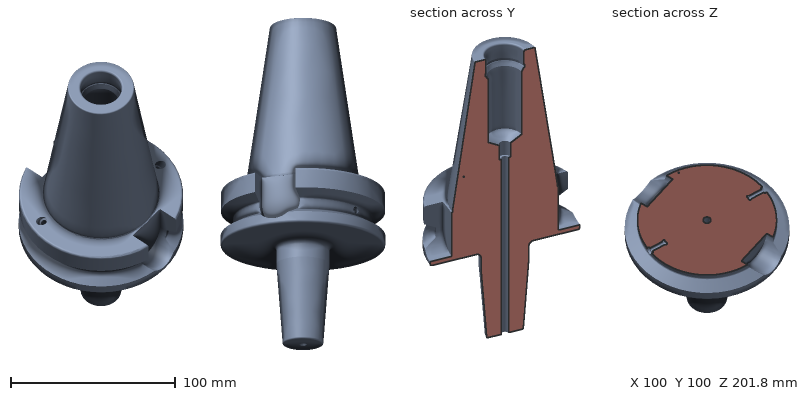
import cadquery as cq
import math


shank_height = 101.7
gauge_radius = 35.0
taper_slope = 3.5 / 24
shank_top_fillet = 0.8
taper_end_z = -1.5
shank_foot_fillet = 0.6

flange_top_z = -3.0
flange_bottom_z = -38.0
upper_rim_radius = 49.8
lower_rim_radius = 50.0
rim_fillet = 1.5
groove_radius = 42.4
groove_center_z = -23.5
groove_floor_width = 6.5
groove_flank_slope = math.tan(math.radians(30))
groove_fillet = 0.8

nose_bottom_z = shank_height - 201.8
nose_radius = 16.1
nose_tip_radius = 12.3
nose_cone_z = -49.2
nose_root_fillet = 2.8
nose_tip_fillet = 1.0

mouth_fillet = 1.2
counterbore_radius = 12.5
counterbore_depth = 12.5
relief_radius = 13.1
relief_height = 2.0
thread_radius = 10.9
countersink_slope = math.tan(math.radians(60))
thread_depth = 60.5
drill_point_slope = math.tan(math.radians(30))
pilot_radius = 3.6
pilot_length = 10.0
through_radius = 2.2

slot_width = 26.2
slot_floor_x = 35.5
slot_bottom_z = -34.5

passage_angles = (70, 250)
passage_tilt = 30
passage_mouth_radius = 42.0
top_seat_diameter = 6.0
top_seat_depth = 3.0
top_hole_diameter = 3.6
groove_seat_diameter = 4.5
groove_seat_depth = 1.6
groove_hole_diameter = 2.5


def taper_radius(z):
    """Radius of the steep taper at height z."""
    return gauge_radius - taper_slope * z


def revolve_profile(profile):
    """Turn a closed (radius, z) profile around the Z axis."""
    return profile.close().revolve(360, (0, 0, 0), (0, 1, 0))


def round_edge(body, radius, z, fillet):
    """Fillet the circular edge of the given radius at height z."""
    tolerance = 0.02

    def matches(edge):
        return (
            edge.geomType() == "CIRCLE"
            and abs(edge.radius() - radius) < tolerance
            and abs(edge.Center().z - z) < tolerance
        )

    return body.newObject([edge for edge in body.edges().vals() if matches(edge)]).fillet(fillet)


def make_body():
    groove_top_z = groove_center_z + groove_floor_width / 2
    groove_bottom_z = groove_center_z - groove_floor_width / 2
    upper_flank_height = (upper_rim_radius - groove_radius) * groove_flank_slope
    lower_flank_height = (lower_rim_radius - groove_radius) * groove_flank_slope
    shank_top_radius = taper_radius(shank_height)
    shank_foot_radius = taper_radius(taper_end_z)
    profile = (
        cq.Workplane("XZ")
        .moveTo(0, shank_height)
        .lineTo(shank_top_radius, shank_height)
        .lineTo(shank_foot_radius, taper_end_z)
        .lineTo(shank_foot_radius, flange_top_z)
        .lineTo(upper_rim_radius, flange_top_z)
        .lineTo(upper_rim_radius, groove_top_z + upper_flank_height)
        .lineTo(groove_radius, groove_top_z)
        .lineTo(groove_radius, groove_bottom_z)
        .lineTo(lower_rim_radius, groove_bottom_z - lower_flank_height)
        .lineTo(lower_rim_radius, flange_bottom_z)
        .lineTo(nose_radius, flange_bottom_z)
        .lineTo(nose_radius, nose_cone_z)
        .lineTo(nose_tip_radius, nose_bottom_z)
        .lineTo(0, nose_bottom_z)
    )
    body = revolve_profile(profile)
    rounded_edges = (
        (shank_top_radius, shank_height, shank_top_fillet),
        (shank_foot_radius, flange_top_z, shank_foot_fillet),
        (upper_rim_radius, flange_top_z, rim_fillet),
        (groove_radius, groove_top_z, groove_fillet),
        (groove_radius, groove_bottom_z, groove_fillet),
        (lower_rim_radius, flange_bottom_z, rim_fillet),
        (nose_radius, flange_bottom_z, nose_root_fillet),
        (nose_tip_radius, nose_bottom_z, nose_tip_fillet),
    )
    for radius, z, fillet in rounded_edges:
        body = round_edge(body, radius, z, fillet)
    return body


def make_bore():
    counterbore_z = shank_height - counterbore_depth
    thread_top_z = counterbore_z - (counterbore_radius - thread_radius) * countersink_slope
    thread_bottom_z = shank_height - thread_depth
    pilot_top_z = thread_bottom_z - (thread_radius - pilot_radius) * drill_point_slope
    pilot_bottom_z = pilot_top_z - pilot_length
    profile = (
        cq.Workplane("XZ")
        .moveTo(0, shank_height)
        .lineTo(counterbore_radius, shank_height)
        .lineTo(counterbore_radius, counterbore_z + relief_height)
        .lineTo(relief_radius, counterbore_z + relief_height)
        .lineTo(relief_radius, counterbore_z)
        .lineTo(counterbore_radius, counterbore_z)
        .lineTo(thread_radius, thread_top_z)
        .lineTo(thread_radius, thread_bottom_z)
        .lineTo(pilot_radius, pilot_top_z)
        .lineTo(pilot_radius, pilot_bottom_z)
        .lineTo(through_radius, pilot_bottom_z)
        .lineTo(through_radius, nose_bottom_z)
        .lineTo(0, nose_bottom_z)
    )
    return revolve_profile(profile)


def make_drive_slot(side):
    """Round-bottomed slot through the rim; side is +1 for +X and -1 for -X."""
    half_width = slot_width / 2
    arc_center_z = slot_bottom_z + half_width
    return (
        cq.Workplane("YZ", origin=(side * slot_floor_x, 0, 0))
        .moveTo(-half_width, flange_top_z)
        .lineTo(-half_width, arc_center_z)
        .threePointArc((0, slot_bottom_z), (half_width, arc_center_z))
        .lineTo(half_width, flange_top_z)
        .close()
        .extrude(side * (lower_rim_radius - slot_floor_x))
    )


def drill_stepped(mouth, direction, seat_diameter, seat_depth, hole_diameter, hole_depth):
    """Hole with a wider seat; the seat also starts outside the mouth to cut its whole rim."""
    seat_start = mouth - direction * seat_diameter
    seat = cq.Solid.makeCylinder(seat_diameter / 2, seat_diameter + seat_depth, seat_start, direction)
    hole = cq.Solid.makeCylinder(hole_diameter / 2, hole_depth, mouth, direction)
    return cq.Workplane(seat).union(cq.Workplane(hole))


def make_coolant_passage(angle):
    """Inclined hole from the flange top, meeting a radial hole from the groove."""
    tilt = math.radians(passage_tilt)
    drop = flange_top_z - groove_center_z
    inclined = drill_stepped(
        cq.Vector(passage_mouth_radius, 0, flange_top_z),
        cq.Vector(-math.sin(tilt), 0, -math.cos(tilt)),
        top_seat_diameter,
        top_seat_depth,
        top_hole_diameter,
        drop / math.cos(tilt),
    )
    meeting_radius = passage_mouth_radius - drop * math.tan(tilt)
    radial = drill_stepped(
        cq.Vector(groove_radius, 0, groove_center_z),
        cq.Vector(-1, 0, 0),
        groove_seat_diameter,
        groove_seat_depth,
        groove_hole_diameter,
        groove_radius - meeting_radius,
    )
    return inclined.union(radial).rotate((0, 0, 0), (0, 0, 1), angle)


result = make_body().cut(make_bore())
result = round_edge(result, counterbore_radius, shank_height, mouth_fillet)
for slot_side in (1, -1):
    result = result.cut(make_drive_slot(slot_side))
for passage_angle in passage_angles:
    result = result.cut(make_coolant_passage(passage_angle))